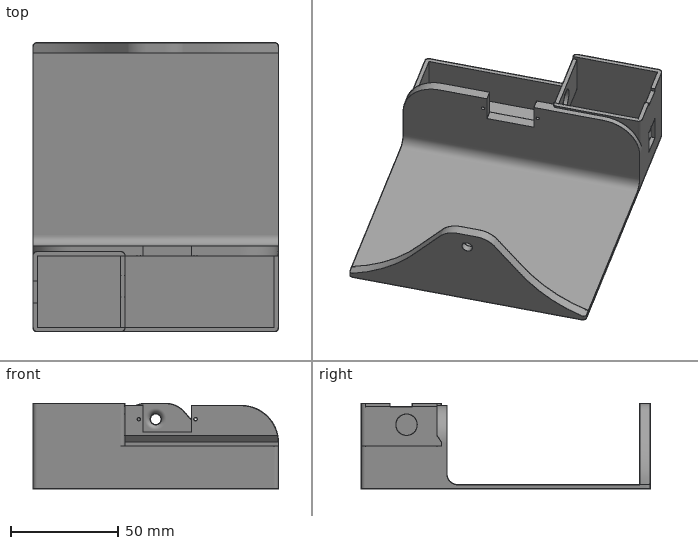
import cadquery as cq
import math

length_x = 114.6
length_y = 135.0
height = 40.0
wall = 2.0
corner_radius = 1.9
plate_thickness = 5.0

bin_height = 20.0
bin_inner_back = 35.4
box_width = 42.9
box_back = bin_inner_back + wall
partition_hole_diameter = 10.0
partition_hole_y = 21.2
partition_hole_z = (bin_height + height) / 2
rim_recess = 1.5

window_y = 13.5
window_width = 10.3
window_bottom = 9.2
window_top = 21.3

rail_back = 40.1
rail_top = 39.0
rail_corner_radius = 17.5
rail_fillet = 5.0
gap_left = 51.3
gap_right = 74.0
gap_bottom = 26.6
pin_diameter = 1.5
pin_offset = 1.9
pivot_z = 32.5

groove_depth = 2.0
groove_straight_top = 22.0
groove_top = 25.0

middle_x = length_x / 2
crest_half_width = 4.6
shoulder_half_width = 12.5
shoulder_z = 36.9
flank_half_width = 23.8
flank_z = 24.2
flank_arc_radius = 66.2
pivot_diameter = 5.0
pivot_mouth_diameter = 10.0


def block(x0, x1, y0, y1, z0, z1):
    """Box between opposite corners."""
    return cq.Workplane("XY").box(x1 - x0, y1 - y0, z1 - z0, centered=False).translate((x0, y0, z0))


def rod_along_y(x, z, diameter, y0, y1):
    """Round rod from y0 to y1."""
    return cq.Workplane("XZ", origin=(x, y0, z)).circle(diameter / 2).extrude(y0 - y1)


def make_rail():
    """Solid rail with rounded upper ends and a fillet down to the floor."""
    rail = block(0, length_x, bin_inner_back, rail_back, 0, rail_top)
    rail = rail.edges("|Y and >Z").fillet(rail_corner_radius)
    arc_shift = rail_fillet * (1 - math.sqrt(0.5))
    cove = (
        cq.Workplane("YZ")
        .moveTo(rail_back, wall)
        .lineTo(rail_back + rail_fillet, wall)
        .threePointArc(
            (rail_back + arc_shift, wall + arc_shift),
            (rail_back, wall + rail_fillet),
        )
        .close()
        .extrude(length_x)
    )
    return rail.union(cove)


def make_rear_lug():
    """Bell-shaped plate: flat crest, round shoulders, straight flanks, concave feet."""
    shoulder_drop = height - shoulder_z
    shoulder_run = shoulder_half_width - crest_half_width
    shoulder_radius = (shoulder_run**2 + shoulder_drop**2) / (2 * shoulder_drop)
    left, right = middle_x - flank_half_width, middle_x + flank_half_width
    lug = (
        cq.Workplane("XZ", origin=(0, length_y, 0))
        .moveTo(0, 0)
        .lineTo(0, wall)
        .radiusArc((left, flank_z), -flank_arc_radius)
        .lineTo(middle_x - shoulder_half_width, shoulder_z)
        .radiusArc((middle_x - crest_half_width, height), shoulder_radius)
        .lineTo(middle_x + crest_half_width, height)
        .radiusArc((middle_x + shoulder_half_width, shoulder_z), shoulder_radius)
        .lineTo(right, flank_z)
        .radiusArc((length_x, wall), -flank_arc_radius)
        .lineTo(length_x, 0)
        .close()
        .extrude(plate_thickness)
    )
    return lug.cut(make_pivot_hole())


def make_pivot_hole():
    """Through hole that flares into a rounded, trumpet-shaped mouth toward the bin."""
    hole_radius = pivot_diameter / 2
    mouth_radius = pivot_mouth_diameter / 2
    flare = mouth_radius - hole_radius
    plate_front = length_y - plate_thickness
    flare_middle = flare * (1 - math.sqrt(0.5))
    return (
        cq.Workplane("XY")
        .moveTo(0, plate_front)
        .lineTo(mouth_radius, plate_front)
        .threePointArc(
            (hole_radius + flare_middle, plate_front + flare_middle),
            (hole_radius, plate_front + flare),
        )
        .lineTo(hole_radius, length_y)
        .lineTo(0, length_y)
        .close()
        .revolve(360, (0, 0, 0), (0, 1, 0))
        .translate((middle_x, 0, pivot_z))
    )


def make_body():
    """Floor, bin, box, rail and lug joined, then hollowed out."""
    floor = block(0, length_x, 0, length_y, 0, wall)
    bin_block = block(0, length_x, 0, box_back, 0, bin_height)
    outer_corners = block(0, length_x, 0, length_y, 0, height).edges("|Z").fillet(corner_radius)
    box_block = block(0, box_width, 0, box_back, 0, height).edges("|Z").fillet(corner_radius)
    body = floor.union(bin_block).union(make_rail()).union(make_rear_lug())
    body = body.intersect(outer_corners).union(box_block)
    bin_cavity = block(wall, length_x - wall, wall, bin_inner_back, wall, bin_height)
    box_cavity = block(wall, box_width - wall, wall, bin_inner_back, wall, height)
    return body.cut(bin_cavity).cut(box_cavity)


def cut_rail(body):
    """Open gap, two pin holes and the lid groove."""
    gap = block(gap_left, gap_right, bin_inner_back, rail_back, gap_bottom, height)
    body = body.cut(gap)
    for x in (gap_left - pin_offset, gap_right + pin_offset):
        body = body.cut(rod_along_y(x, pivot_z, pin_diameter, bin_inner_back, rail_back))
    groove = (
        cq.Workplane("YZ", origin=(box_width, 0, 0))
        .moveTo(bin_inner_back, bin_height)
        .lineTo(bin_inner_back + groove_depth, bin_height)
        .lineTo(bin_inner_back + groove_depth, groove_straight_top)
        .lineTo(bin_inner_back, groove_top)
        .close()
        .extrude(length_x - box_width)
    )
    return body.cut(groove)


def cut_box_openings(body):
    """Window and top notch in the left wall, lowered rim and round hole in the partition."""
    window_end = window_y + window_width
    window = block(0, wall, window_y, window_end, window_bottom, window_top)
    notch = block(0, wall, window_y, window_end, height - rim_recess, height)
    partition_top = block(
        box_width - wall, box_width, wall, bin_inner_back, height - rim_recess, height
    )
    partition_hole = (
        cq.Workplane("YZ", origin=(box_width - wall, partition_hole_y, partition_hole_z))
        .circle(partition_hole_diameter / 2)
        .extrude(wall)
    )
    return body.cut(window).cut(notch).cut(partition_top).cut(partition_hole)


result = cut_box_openings(cut_rail(make_body()))